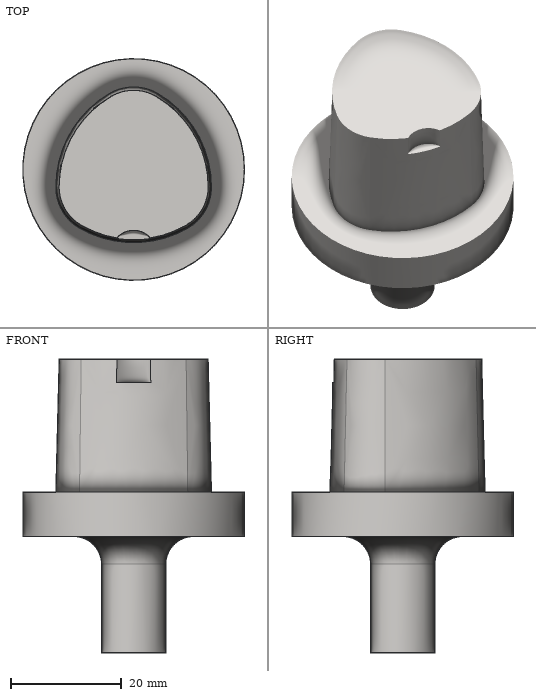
import cadquery as cq
import math

total_height = 53.0
taper_height = 24.0
flange_height = 8.0
pin_height = total_height - taper_height - flange_height

flange_radius = 40.0 / 2
pin_radius = 11.6 / 2
neck_fillet = 5.0

polygon_width = 28.1
taper_ratio = 1 / 20
lobe_height = 0.85
lobe_count = 3
top_width = polygon_width - taper_height * taper_ratio

notch_radius = 4.0
notch_center_y = -14.95
notch_depth = 4.2


def polar_point(radius, angle):
    """X and Y of a point at the given distance and angle from the axis."""
    return (radius * math.cos(angle), radius * math.sin(angle))


def polygon_profile(plane, width):
    """Add a constant-width curve of alternating lobe and flank arcs, with one lobe along +Y."""
    half_sector = math.pi / lobe_count / 2
    center_distance = lobe_height / (1 - math.cos(half_sector))
    lobe_reach = width / 2 + lobe_height
    flank_reach = width / 2 - lobe_height
    lobe_radius = lobe_reach - center_distance
    joint_x = center_distance + lobe_radius * math.cos(half_sector)
    joint_y = lobe_radius * math.sin(half_sector)
    joint_distance = math.hypot(joint_x, joint_y)
    joint_angle = math.atan2(joint_y, joint_x)

    profile = plane.moveTo(*polar_point(joint_distance, math.pi / 2 - joint_angle))
    for lobe in range(lobe_count):
        lobe_angle = math.pi / 2 + 4 * half_sector * lobe
        flank_angle = lobe_angle + 2 * half_sector
        next_lobe_angle = lobe_angle + 4 * half_sector
        profile = profile.threePointArc(
            polar_point(lobe_reach, lobe_angle),
            polar_point(joint_distance, lobe_angle + joint_angle),
        )
        profile = profile.threePointArc(
            polar_point(flank_reach, flank_angle),
            polar_point(joint_distance, next_lobe_angle - joint_angle),
        )
    return profile.close()


def make_shank():
    """Ruled taper between the base and top polygons."""
    base = polygon_profile(cq.Workplane("XY"), polygon_width)
    base_and_top = polygon_profile(base.workplane(offset=taper_height), top_width)
    return base_and_top.loft(ruled=True)


def make_notch():
    """Vertical cylinder that scoops the notch down from the top face."""
    return (
        cq.Workplane("XY", origin=(0, notch_center_y, taper_height - notch_depth))
        .circle(notch_radius)
        .extrude(notch_depth)
    )


def make_flange_and_pin():
    """Turned flange and pin, joined by a concave fillet below the flange."""
    flange_bottom = -flange_height
    pin_bottom = flange_bottom - pin_height
    fillet_start = (pin_radius, flange_bottom - neck_fillet)
    fillet_end = (pin_radius + neck_fillet, flange_bottom)
    fillet_offset = neck_fillet * (1 - math.sqrt(0.5))
    fillet_middle = (pin_radius + fillet_offset, flange_bottom - fillet_offset)
    return (
        cq.Workplane("XZ")
        .moveTo(0, pin_bottom)
        .lineTo(pin_radius, pin_bottom)
        .lineTo(*fillet_start)
        .threePointArc(fillet_middle, fillet_end)
        .lineTo(flange_radius, flange_bottom)
        .lineTo(flange_radius, 0)
        .lineTo(0, 0)
        .close()
        .revolve(360, (0, 0), (0, 1))
    )


shank = make_shank().cut(make_notch())
result = make_flange_and_pin().union(shank)